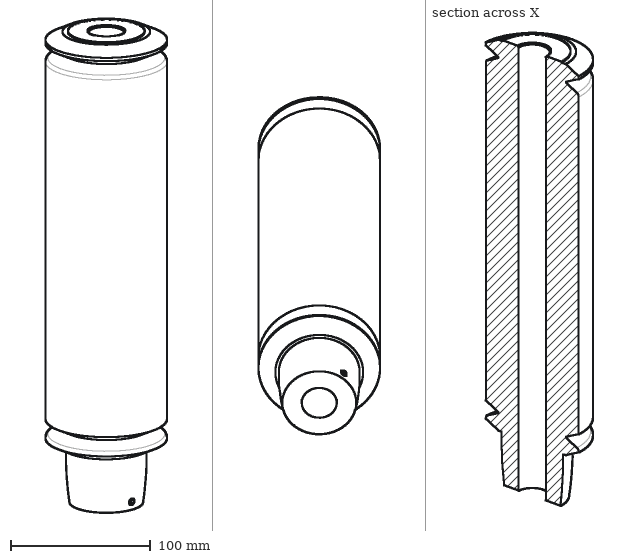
import cadquery as cq

total_height = 353.0
body_diameter = 87.0
body_radius = body_diameter / 2

groove_radius = 62.8 / 2
flare_height = 6.0
rim_height = 2.5

pad_radius = 55.0 / 2
pad_height = 0.7

shank_height = 41.5
shank_top_radius = 29.0
shank_middle_radius = 28.5
shank_bottom_radius = 26.5

bore_diameter = 25.0
bore_chamfer = 1.0

pin_diameter = 5.3
pin_height = 6.7
pin_reach = 28.2
pin_chamfer = 1.0

shoulder_fillet = 3.0
selection_margin = 0.5


def make_body():
    """Turned solid: shank, lower rim, long body and upper rim."""
    lower_rim_bottom = shank_height + flare_height
    lower_rim_top = lower_rim_bottom + rim_height
    lower_groove = lower_rim_top + flare_height
    body_bottom = lower_groove + flare_height

    ledge = total_height - pad_height
    upper_rim_top = ledge - flare_height
    upper_rim_bottom = upper_rim_top - rim_height
    upper_groove = upper_rim_bottom - flare_height
    body_top = upper_groove - flare_height

    body = (
        cq.Workplane("XZ")
        .lineTo(shank_bottom_radius, 0)
        .threePointArc((shank_middle_radius, shank_height / 2), (shank_top_radius, shank_height))
        .lineTo(groove_radius, shank_height)
        .lineTo(body_radius, lower_rim_bottom)
        .lineTo(body_radius, lower_rim_top)
        .lineTo(groove_radius, lower_groove)
        .lineTo(body_radius, body_bottom)
        .lineTo(body_radius, body_top)
        .lineTo(groove_radius, upper_groove)
        .lineTo(body_radius, upper_rim_bottom)
        .lineTo(body_radius, upper_rim_top)
        .lineTo(groove_radius, ledge)
        .lineTo(pad_radius, ledge)
        .lineTo(pad_radius, total_height)
        .lineTo(0, total_height)
        .close()
        .revolve(360, (0, 0, 0), (0, 1, 0))
    )

    for shoulder_height in (lower_rim_top, body_top):
        body = body.edges("%CIRCLE").edges(
            cq.selectors.BoxSelector(
                (-body_radius, -body_radius, shoulder_height - selection_margin),
                (body_radius, body_radius, shoulder_height + selection_margin),
            )
        ).fillet(shoulder_fillet)
    return body


def make_pins():
    """One cross rod whose chamfered ends form the pins on the -X and +X sides."""
    return (
        cq.Workplane("YZ")
        .center(0, pin_height)
        .circle(pin_diameter / 2)
        .extrude(pin_reach, both=True)
        .edges("%CIRCLE and (<X or >X)")
        .chamfer(pin_chamfer)
    )


def make_bore():
    """Through bore with a chamfered mouth at the top."""
    bore_radius = bore_diameter / 2
    mouth_radius = bore_radius + bore_chamfer
    return (
        cq.Workplane("XZ")
        .lineTo(bore_radius, 0)
        .lineTo(bore_radius, total_height - bore_chamfer)
        .lineTo(mouth_radius, total_height)
        .lineTo(0, total_height)
        .close()
        .revolve(360, (0, 0, 0), (0, 1, 0))
    )


result = make_body().union(make_pins()).cut(make_bore())